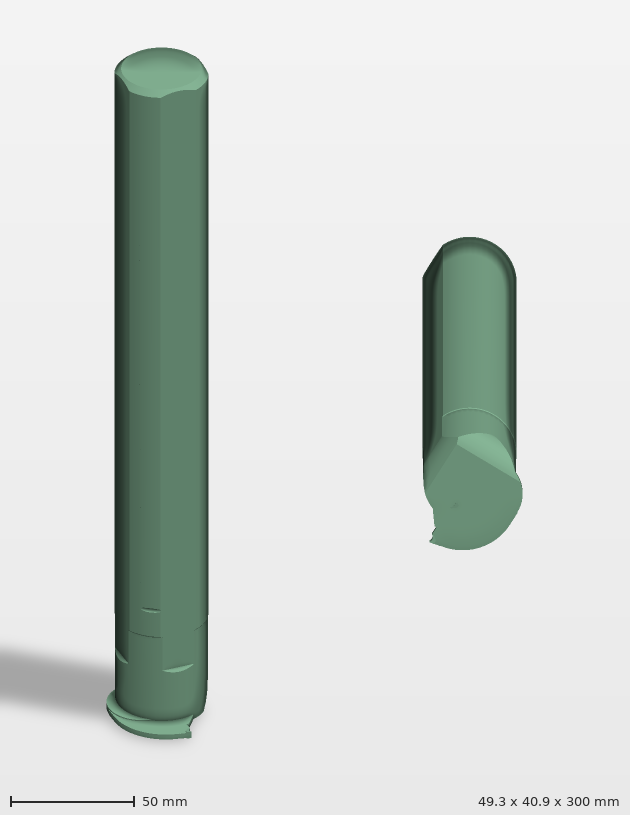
import cadquery as cq
import math


overall_x = 49.25
overall_y = 40.9

total_height = 300.0
shank_radius = 19.05
flat_offset = 17.4
end_radius = 16.3
end_chamfer_height = 2.3

head_top = 42.0
head_radius = 18.75
head_step_height = 0.5
flat_end_z = 26.4
body_bottom = 0.3

side_relief = [(-head_radius, 11.4), (-16.5, 5.0), (-10.5, body_bottom)]
back_relief = [(flat_offset, 13.9), (15.6, 6.0), (12.6, body_bottom)]

groove_z = 54.8
groove_radius = 1.2
groove_depth = 0.5
groove_angle = math.radians(-36)

blade_top = 2.6
blade_radius = 22.5
blade_lowest_y = flat_offset - overall_y
blade_center = (7.0, blade_lowest_y + blade_radius)
jaw_root = (18.0, 6.3)
jaw_tip = (23.5, 2.1)
nose_top = 3.1
nose_radius = 14.5
nose_center = (1.0, -8.8)

tip_x = overall_x - shank_radius
insert_half_length = 10.0
insert_center_x = tip_x - insert_half_length
insert_top_y = 1.1
insert_seat_y = -4.3
cutting_bottom = -0.02
cutting_top = 3.1
cutting_edge_y = 0.3
chip_groove_length = 3.2
chip_groove_low_back = 1.8
chip_groove_low_y = 0.0
tip_length = 3.4
tip_depth = 1.9
tip_front_slant = 0.3
web_front_setback = 0.8

overlap = 1.0


def make_disc(radius, bottom, top, center=(0, 0)):
    """Upright cylinder between two heights."""
    return cq.Workplane("XY", origin=(*center, bottom)).circle(radius).extrude(top - bottom)


def make_shank():
    """Chamfered bar above the head."""
    chamfer_z = total_height - end_chamfer_height
    profile = [
        (0, head_top),
        (head_radius, head_top),
        (shank_radius, head_top + head_step_height),
        (shank_radius, chamfer_z),
        (end_radius, total_height),
        (0, total_height),
    ]
    return cq.Workplane("XZ").polyline(profile).close().revolve(360, (0, 0), (0, 1))


def make_flat_cutter(angle, bottom):
    """Removes one flat facing +X, turned by angle, with a 45 degree run-out at its lower end."""
    outer = shank_radius + overlap
    runout_z = bottom - (outer - flat_offset)
    profile = [
        (flat_offset, bottom),
        (outer, runout_z),
        (outer, total_height + overlap),
        (flat_offset, total_height + overlap),
    ]
    cutter = cq.Workplane("XZ").polyline(profile).close().extrude(shank_radius, both=True)
    return cutter.rotate((0, 0, 0), (0, 0, 1), angle)


def make_relief_cutter(plane, relief):
    """Removes the corner outside an arc given by its top, middle and bottom points."""
    top, middle, bottom = relief
    outer_x = math.copysign(shank_radius + overlap, top[0])
    return (
        cq.Workplane(plane)
        .moveTo(*top)
        .threePointArc(middle, bottom)
        .lineTo(bottom[0], -overlap)
        .lineTo(outer_x, -overlap)
        .lineTo(outer_x, top[1])
        .close()
        .extrude(2 * shank_radius, both=True)
    )


def make_groove_cutter():
    """Rod lying across the corner of the shank, just biting into its surface."""
    distance = shank_radius + groove_radius - groove_depth
    outward = cq.Vector(math.cos(groove_angle), math.sin(groove_angle), 0)
    along = cq.Vector(-outward.y, outward.x, 0)
    start = outward * distance - along * shank_radius + cq.Vector(0, 0, groove_z)
    return cq.Solid.makeCylinder(groove_radius, 2 * shank_radius, start, along)


def make_blade():
    """Thin blade: the lower part is an arc segment below the seat, the jaw lies above the insert."""
    thickness = blade_top - body_bottom
    start_x = blade_center[0]
    seat_rise = insert_seat_y - blade_center[1]
    seat_end_x = start_x + math.sqrt(blade_radius**2 - seat_rise**2)
    diagonal = blade_radius * math.sqrt(0.5)
    base = cq.Workplane("XY", origin=(0, 0, body_bottom))
    support = (
        base.moveTo(start_x, insert_seat_y)
        .lineTo(seat_end_x, insert_seat_y)
        .threePointArc((start_x + diagonal, blade_center[1] - diagonal), (start_x, blade_lowest_y))
        .lineTo(nose_center[0], blade_lowest_y)
        .lineTo(nose_center[0], insert_seat_y)
        .close()
        .extrude(thickness)
    )
    jaw = (
        base.moveTo(start_x, jaw_root[1])
        .lineTo(*jaw_root)
        .lineTo(*jaw_tip)
        .lineTo(jaw_tip[0], insert_top_y)
        .lineTo(start_x, insert_top_y)
        .close()
        .extrude(thickness)
    )
    return support.union(jaw)


def make_insert():
    """Slim bar with a chip groove and a cutting tip at each end that widens toward its edge."""
    groove_start = tip_x - chip_groove_length
    groove_low = (tip_x - chip_groove_low_back, chip_groove_low_y)
    cutting_edge = (tip_x, cutting_edge_y)
    front_x = tip_x - web_front_setback
    tip_front_x = tip_x - tip_front_slant
    tip_back_x = tip_x - tip_length
    web = (
        cq.Workplane("XY", origin=(0, 0, body_bottom))
        .moveTo(insert_center_x, insert_top_y)
        .lineTo(groove_start, insert_top_y)
        .threePointArc(groove_low, cutting_edge)
        .lineTo(front_x, insert_seat_y)
        .lineTo(insert_center_x, insert_seat_y)
        .close()
        .extrude(blade_top - body_bottom)
    )
    tip = (
        cq.Workplane("XY", origin=(0, 0, cutting_bottom))
        .moveTo(groove_start, insert_top_y)
        .threePointArc(groove_low, cutting_edge)
        .lineTo(tip_front_x, cutting_edge_y - tip_depth)
        .lineTo(groove_low[0], cutting_edge_y - tip_depth)
        .lineTo(tip_back_x, cutting_edge_y)
        .close()
        .extrude(cutting_top - cutting_bottom)
    )
    tip_wedge = (
        cq.Workplane("XZ")
        .moveTo(tip_back_x, body_bottom)
        .lineTo(tip_x, cutting_bottom)
        .lineTo(tip_x, cutting_top)
        .lineTo(tip_back_x, blade_top)
        .close()
        .extrude(insert_half_length, both=True)
    )
    half = web.union(tip.intersect(tip_wedge))
    return half.union(half.mirror("YZ", (insert_center_x, 0, 0)))


def make_holder(insert):
    """Bar, head, nose and blade in one piece, with a seat that fits the insert."""
    holder = make_shank().union(make_disc(head_radius, body_bottom, head_top))
    for angle in (0, 270):
        holder = holder.cut(make_flat_cutter(angle, flat_end_z))
    holder = holder.cut(make_flat_cutter(90, -overlap))
    holder = holder.cut(make_groove_cutter())
    holder = holder.union(make_disc(nose_radius, body_bottom, nose_top, nose_center))
    holder = holder.union(make_blade())
    holder = holder.cut(make_relief_cutter("XZ", side_relief))
    holder = holder.cut(make_relief_cutter("YZ", back_relief))
    return holder.cut(insert)


insert = make_insert()
holder = make_holder(insert)

result = cq.Compound.makeCompound([holder.val(), insert.val()])